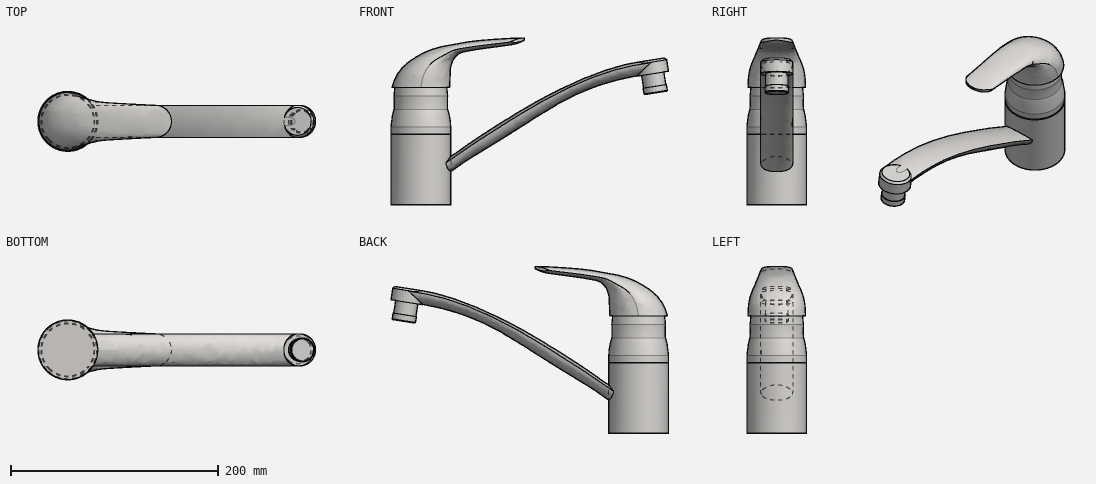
import cadquery as cq
import math

overall_length = 268
body_radius = 58.0 / 2
groove_radius = 57.0 / 2
groove_z = 68.0
groove_width = 0.8
shoulder_z = 75.3
neck_z = 92.2
ring_z = 105.0
body_top_z = 113.5
shoulder_start = (0, 1)
shoulder_end = (-0.3, 1)
neck_radius = 26.0
ring_waist_radius = 25.7
body_top_radius = 25.2

handle_foot_radius = 28.0
lever_half_width = 15.5
handle_tip_x = 100.0
handle_stations = [
    ((-handle_foot_radius, body_top_z), (handle_foot_radius, body_top_z), 0.5, handle_foot_radius),
    ((-25.7, 120.0), (28.1, 119.5), 0.5, 27.5),
    ((-22.5, 126.5), (28.5, 124.6), 0.5, 27.0),
    ((-13.5, 136.7), (29.5, 135.0), 0.53, 24.5),
    ((0.8, 145.8), (32.2, 141.3), 0.6, 21.2),
    ((20.0, 152.8), (36.2, 145.5), 0.6, 19.0),
    ((41.5, 156.8), (46.0, 148.5), 0.6, 17.7),
    ((65.7, 159.5), (67.0, 151.7), 0.6, 16.4),
    ((82.5, 160.5), (83.0, 153.5), 0.55, lever_half_width),
    ((92.5, 161.0), (93.0, 155.7), 0.5, lever_half_width),
    ((100.5, 161.0), (100.8, 159.5), 0.5, lever_half_width),
]

spout_half_width = 15.5
spout_rim_fraction = 0.2
spout_stations = [
    ((13.5, 36.0), (21.0, 25.2)),
    ((65.7, 71.8), (73.0, 60.3)),
    ((116.0, 102.0), (121.7, 91.0)),
    ((154.5, 121.0), (158.2, 110.0)),
    ((186.8, 132.7), (189.8, 120.4)),
    ((222.0, 139.7), (224.0, 127.3)),
]
head_tilt = 9.0
head_radius = spout_half_width
head_height = 13.5
head_chamfer = 2.1
head_max_x = overall_length - body_radius
head_base_x = head_max_x - head_radius * math.cos(math.radians(head_tilt))
head_base_z = 126.5
nozzle_radius = 22.0 / 2
nozzle_length = 12.3
nozzle_ring_radius = 23.0 / 2
nozzle_ring_length = 6.5
nozzle_ring_chamfer = 0.8

arch_steps = 8


def section_wire(spine, underside, rim_fraction, half_width, shallow_crown=False):
    """Closed section across the XZ plane: one arch over the spine, one under it, meeting at the rims.

    Both arches are half ellipses, but a shallow crown is a circular arc with sharp rims.
    """
    top = cq.Vector(spine[0], 0, spine[1])
    bottom = cq.Vector(underside[0], 0, underside[1])
    rim = top + (bottom - top) * rim_fraction
    across = cq.Vector(0, half_width, 0)

    def half_ellipse(rim_end, apex):
        """Half ellipse from one rim to the other by way of the apex."""
        angles = [math.pi * step / arch_steps for step in range(arch_steps + 1)]
        points = [rim + rim_end * math.cos(a) + (apex - rim) * math.sin(a) for a in angles]
        return cq.Edge.makeSpline(points)

    if shallow_crown:
        upper_arch = cq.Edge.makeThreePointArc(rim + across, top, rim - across)
    else:
        upper_arch = half_ellipse(across, top)
    return cq.Wire.assembleEdges([upper_arch, half_ellipse(across * -1, bottom)])


def make_body():
    groove_low = groove_z - groove_width / 2
    groove_high = groove_z + groove_width / 2
    return (
        cq.Workplane("XZ")
        .lineTo(body_radius, 0)
        .lineTo(body_radius, groove_low)
        .lineTo(groove_radius, groove_low)
        .lineTo(groove_radius, groove_high)
        .lineTo(body_radius, groove_high)
        .lineTo(body_radius, shoulder_z)
        .spline([(neck_radius, neck_z)], tangents=[shoulder_start, shoulder_end], includeCurrent=True)
        .threePointArc((ring_waist_radius, (neck_z + ring_z) / 2), (neck_radius, ring_z))
        .lineTo(body_top_radius, body_top_z)
        .lineTo(0, body_top_z)
        .close()
        .revolve(360, (0, 0, 0), (0, 1, 0))
    )


def make_handle():
    shell = cq.Solid.makeLoft([section_wire(*station) for station in handle_stations])
    tip_center_x = handle_tip_x - lever_half_width
    plan_half_width = 2 * handle_foot_radius
    keep_plane = cq.Workplane("XY", origin=(0, 0, body_top_z))
    behind = keep_plane.box(
        tip_center_x + plan_half_width, 2 * plan_half_width, overall_length, centered=(False, True, False)
    ).translate((-plan_half_width, 0, 0))
    tip = keep_plane.center(tip_center_x, 0).circle(lever_half_width).extrude(overall_length)
    return cq.Workplane(shell).intersect(behind.union(tip))


def make_spout(body):
    arm = cq.Workplane(
        cq.Solid.makeLoft(
            [
                section_wire(crown, under, spout_rim_fraction, spout_half_width, shallow_crown=True)
                for crown, under in spout_stations
            ]
        )
    )
    tilt = math.radians(head_tilt)
    head_plane = cq.Plane(
        origin=(head_base_x, 0, head_base_z),
        xDir=(math.cos(tilt), 0, math.sin(tilt)),
        normal=(-math.sin(tilt), 0, math.cos(tilt)),
    )
    head = cq.Workplane(head_plane).circle(head_radius).extrude(head_height).faces(">Z").chamfer(head_chamfer)
    nozzle = cq.Workplane(head_plane).circle(nozzle_radius).extrude(-nozzle_length)
    nozzle_ring = (
        cq.Workplane(head_plane)
        .workplane(offset=-nozzle_length)
        .circle(nozzle_ring_radius)
        .extrude(-nozzle_ring_length)
        .faces("<Z")
        .chamfer(nozzle_ring_chamfer)
    )
    return arm.union(head).union(nozzle).union(nozzle_ring).cut(body)


body = make_body()
handle = make_handle()
spout = make_spout(body)

result = cq.Compound.makeCompound([body.solids().val(), handle.solids().val(), spout.solids().val()])